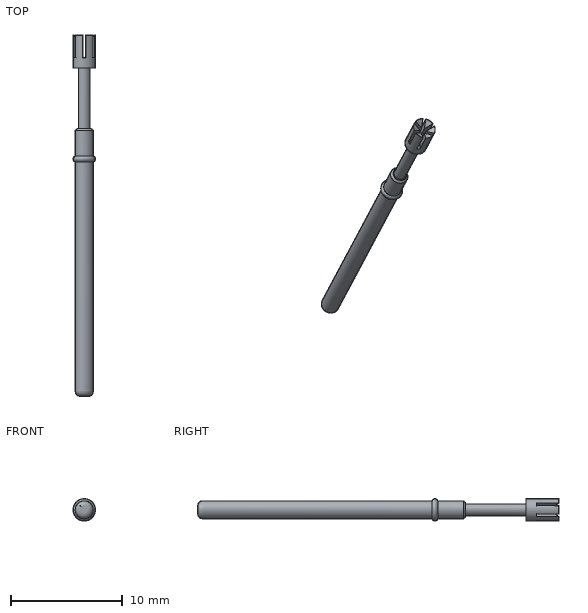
import cadquery as cq
import math

length = 32.3
head_end = length / 2
tail_end = -length / 2

head_radius = 1.0
head_length = 2.95
dish_depth = 0.65
slot_width = 0.25
slot_depth = 2.0
slot_count = 3

stem_radius = 0.533
stem_length = 5.4

barrel_radius = 0.8
mouth_chamfer = 0.2
tail_rounding = 0.45

ring_radius = 1.0
ring_width = 0.52
ring_from_head_end = 11.08

head_back = head_end - head_length
barrel_mouth = head_back - stem_length


def make_turned_body():
    """Revolve the half profile (radius, y) about the Y axis."""
    ring_center = head_end - ring_from_head_end
    ring_front = ring_center + ring_width / 2
    ring_back = ring_center - ring_width / 2
    tail_arc_start = tail_end + tail_rounding
    tail_face_radius = barrel_radius - tail_rounding
    diagonal = tail_rounding * math.sqrt(0.5)
    tail_arc_middle = (tail_face_radius + diagonal, tail_arc_start - diagonal)

    profile = (
        cq.Workplane("XY")
        .moveTo(0, head_end - dish_depth)
        .lineTo(head_radius, head_end)
        .lineTo(head_radius, head_back)
        .lineTo(stem_radius, head_back)
        .lineTo(stem_radius, barrel_mouth)
        .lineTo(barrel_radius - mouth_chamfer, barrel_mouth)
        .lineTo(barrel_radius, barrel_mouth - mouth_chamfer)
        .lineTo(barrel_radius, ring_front)
        .threePointArc((ring_radius, ring_center), (barrel_radius, ring_back))
        .lineTo(barrel_radius, tail_arc_start)
        .threePointArc(tail_arc_middle, (tail_face_radius, tail_end))
        .lineTo(0, tail_end)
        .close()
    )
    return profile.revolve(360, (0, 0, 0), (0, 1, 0))


def cut_crown_slots(body):
    """Cut evenly turned slots through the head axis; the first stands in the YZ plane."""
    slot = cq.Workplane("XY").box(slot_width, slot_depth, 2 * head_radius)
    slot = slot.translate((0, head_end - slot_depth / 2, 0))
    for index in range(slot_count):
        turn = index * 180 / slot_count
        body = body.cut(slot.rotate((0, 0, 0), (0, 1, 0), turn))
    return body


result = cut_crown_slots(make_turned_body())